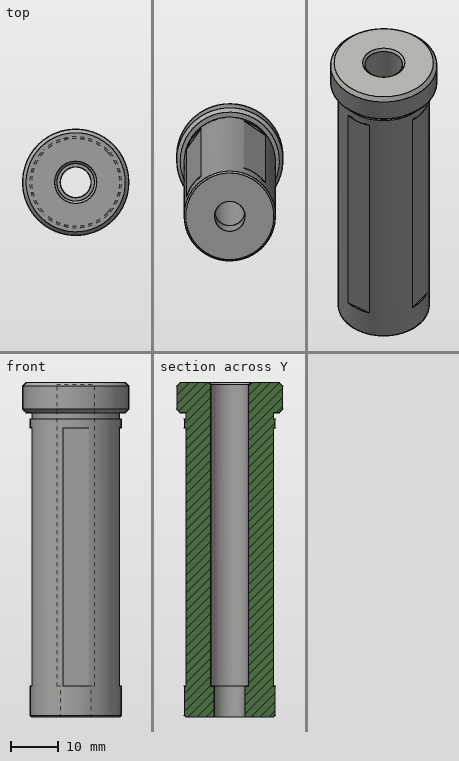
import cadquery as cq

length = 69.85
head_diameter = 22.2
head_height = 6.35
head_chamfer = 0.8
body_diameter = 19.1
body_chamfer = 0.35

neck_diameter = 18.3
neck_height = 1.25

flat_count = 4
flat_to_axis = 9.15
flat_bottom = 6.5
flat_top = length - 9.5

socket_diameter = 7.8
socket_chamfer = 0.5
socket_floor = flat_bottom
outlet_diameter = 6.35

head_bottom = length - head_height
neck_bottom = head_bottom - neck_height


def cylinder(diameter, bottom, top):
    """Cylinder on the Z axis between two heights."""
    return cq.Workplane("XY").workplane(offset=bottom).circle(diameter / 2).extrude(top - bottom)


def flat_cutter(angle):
    """Block removing everything outside one flat, turned about the Z axis."""
    depth = body_diameter / 2 - flat_to_axis
    block = cq.Workplane("XY").box(
        depth, body_diameter, flat_top - flat_bottom, centered=(False, True, False)
    )
    return block.translate((flat_to_axis, 0, flat_bottom)).rotate((0, 0, 0), (0, 0, 1), angle)


head = cylinder(head_diameter, head_bottom, length).edges().chamfer(head_chamfer)
neck = cylinder(neck_diameter, neck_bottom, head_bottom)
body = cylinder(body_diameter, 0, neck_bottom).faces("<Z").edges().chamfer(body_chamfer)

for index in range(flat_count):
    body = body.cut(flat_cutter(index * 360 / flat_count))

result = body.union(neck).union(head)
result = result.cut(cylinder(outlet_diameter, 0, length))
result = result.cut(cylinder(socket_diameter, socket_floor, length))
mouth = result.faces(">Z").edges(cq.selectors.RadiusNthSelector(0))
result = mouth.chamfer(socket_chamfer)